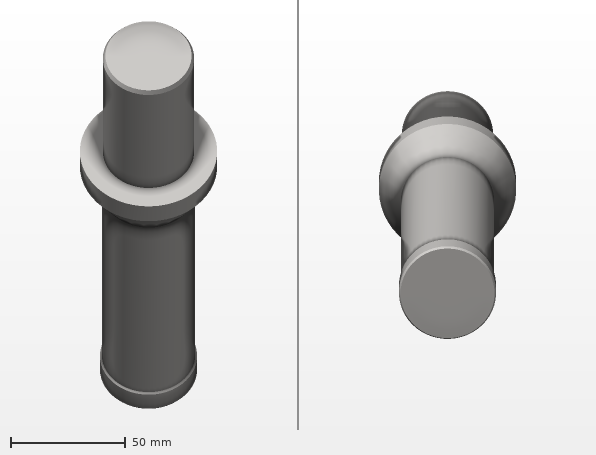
import cadquery as cq

total_height = 231.0
shoulder_height = 132.5
collar_cone_height = 17.5
collar_rim_height = 10.9
foot_height = 12.0

collar_diameter = 60.0
pin_diameter = 40.0
shank_diameter = 41.0
foot_diameter = 42.5

tip_taper_width = 1.2
tip_taper_height = 1.8
foot_taper_width = 0.7
foot_taper_height = 1.2

collar_radius = collar_diameter / 2
pin_radius = pin_diameter / 2
shank_radius = shank_diameter / 2
foot_radius = foot_diameter / 2
foot_bevel = foot_radius - shank_radius


def revolve_profile(points):
    """Turn a closed (radius, height) profile about the Z axis."""
    return cq.Workplane("XZ").polyline(points).close().revolve(360, (0, 0), (0, 1))


def make_shaft():
    """Stepped shaft: tapered foot, shank up to the shoulder, and slimmer pin with a tapered tip."""
    return revolve_profile([
        (0, 0),
        (foot_radius - foot_taper_width, 0),
        (foot_radius, foot_taper_height),
        (foot_radius, foot_height - foot_bevel),
        (shank_radius, foot_height),
        (shank_radius, shoulder_height),
        (pin_radius, shoulder_height),
        (pin_radius, total_height - tip_taper_height),
        (pin_radius - tip_taper_width, total_height),
        (0, total_height),
    ])


def make_collar():
    """Ring around the pin, seated on the shoulder, with a cone widening up to a cylindrical rim."""
    rim_bottom = shoulder_height + collar_cone_height
    rim_top = rim_bottom + collar_rim_height
    return revolve_profile([
        (pin_radius, shoulder_height),
        (shank_radius, shoulder_height),
        (collar_radius, rim_bottom),
        (collar_radius, rim_top),
        (pin_radius, rim_top),
    ])


shaft = make_shaft()
collar = make_collar()

result = cq.Compound.makeCompound([shaft.val(), collar.val()])